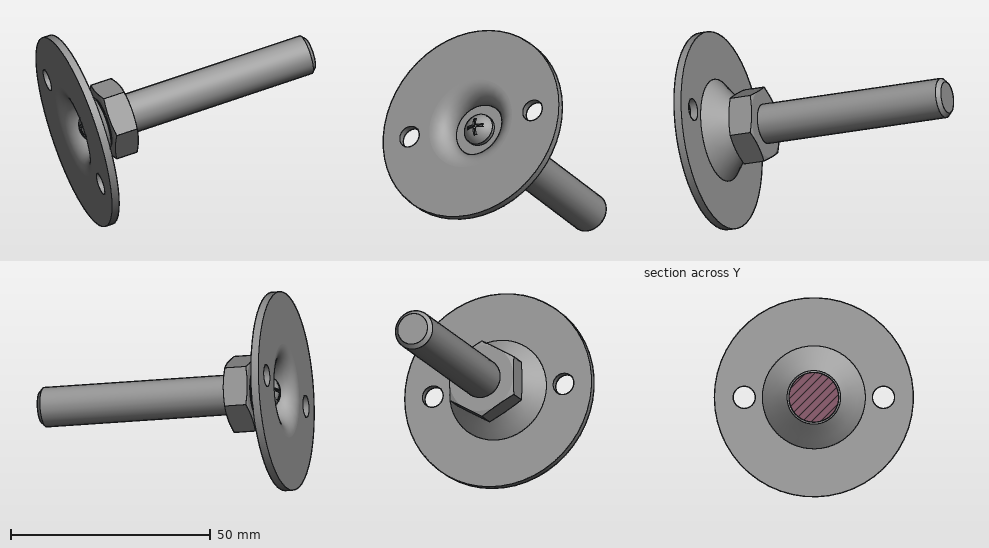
import cadquery as cq
import math

base_diameter = 50.0
base_thickness = 2.0
hole_diameter = 5.5
hole_offset = 17.5

cone_foot_radius = 12.9
cone_top_radius = 6.7
cone_top = 7.35
recess_mouth_radius = 11.8
recess_floor_radius = 6.8
recess_depth = recess_mouth_radius - recess_floor_radius

collar_radius = 6.3
nut_bottom = 7.75
nut_top = 14.0
nut_across_flats = 17.0
nut_across_corners = nut_across_flats / math.cos(math.pi / 6)
nut_bevel_height = 0.4

stud_diameter = 10.0
stud_end = 64
stud_chamfer = 1.0

head_diameter = 8.0
dome_height = 2.3
head_rim_height = 1.0
cross_span = 4.35
cross_width = 0.7
cross_depth = 1.0


def disc(radius, start, end):
    """Cylinder on the Y axis between two Y positions."""
    return cq.Workplane("XZ", origin=(0, start, 0)).circle(radius).extrude(start - end)


def revolve_about_y(profile):
    """Turn a closed half profile, drawn as (radius, Y), about the Y axis."""
    return profile.close().revolve(360, (0, 0, 0), (0, 1, 0))


def make_base():
    """Flat disc rising to a cone, with a flared recess and two mounting holes."""
    plate = disc(base_diameter / 2, 0, base_thickness)
    cone = revolve_about_y(
        cq.Workplane("XY")
        .lineTo(cone_foot_radius, 0)
        .lineTo(cone_foot_radius, base_thickness)
        .lineTo(cone_top_radius, cone_top)
        .lineTo(0, cone_top)
    )
    arc_inset = recess_depth * math.sqrt(0.5)
    recess = revolve_about_y(
        cq.Workplane("XY")
        .lineTo(recess_mouth_radius, 0)
        .threePointArc(
            (recess_mouth_radius - arc_inset, recess_depth - arc_inset),
            (recess_floor_radius, recess_depth),
        )
        .lineTo(0, recess_depth)
    )
    holes = (
        cq.Workplane("XZ")
        .pushPoints([(-hole_offset, 0), (hole_offset, 0)])
        .circle(hole_diameter / 2)
        .extrude(-base_thickness)
    )
    return plate.union(cone).cut(recess).cut(holes)


def make_nut():
    """Hexagon with corners along Z and beveled on both faces."""
    hexagon = (
        cq.Workplane("XZ", origin=(0, nut_bottom, 0))
        .transformed(rotate=(0, 0, 90))
        .polygon(6, nut_across_corners)
        .extrude(nut_bottom - nut_top)
    )
    bevel_width = (nut_across_corners - nut_across_flats) / 2
    envelope = disc(nut_across_corners / 2, nut_bottom, nut_top)
    envelope = envelope.faces("<Y or >Y").chamfer(nut_bevel_height, bevel_width)
    return hexagon.intersect(envelope)


def make_stud():
    """Plain shank with a chamfered free end."""
    shank = disc(stud_diameter / 2, cone_top, stud_end)
    return shank.faces(">Y").chamfer(stud_chamfer)


def make_head():
    """Spherical cap on a short round rim, standing on the recess floor, with a cross-shaped drive slot."""
    radius = head_diameter / 2
    rim = recess_depth - head_rim_height
    crown = rim - dome_height
    sphere_radius = (radius**2 + dome_height**2) / (2 * dome_height)
    mid_angle = math.asin(radius / sphere_radius) / 2
    mid_point = (
        sphere_radius * math.sin(mid_angle),
        crown + sphere_radius * (1 - math.cos(mid_angle)),
    )
    dome = revolve_about_y(
        cq.Workplane("XY")
        .moveTo(0, crown)
        .threePointArc(mid_point, (radius, rim))
        .lineTo(radius, recess_depth)
        .lineTo(0, recess_depth)
    )
    slot = cq.Workplane("XZ", origin=(0, crown, 0))
    for size in [(cross_span, cross_width), (cross_width, cross_span)]:
        dome = dome.cut(slot.rect(*size).extrude(-cross_depth))
    return dome


collar = disc(collar_radius, cone_top, nut_bottom)
result = make_base().union(collar).union(make_nut()).union(make_stud()).union(make_head())